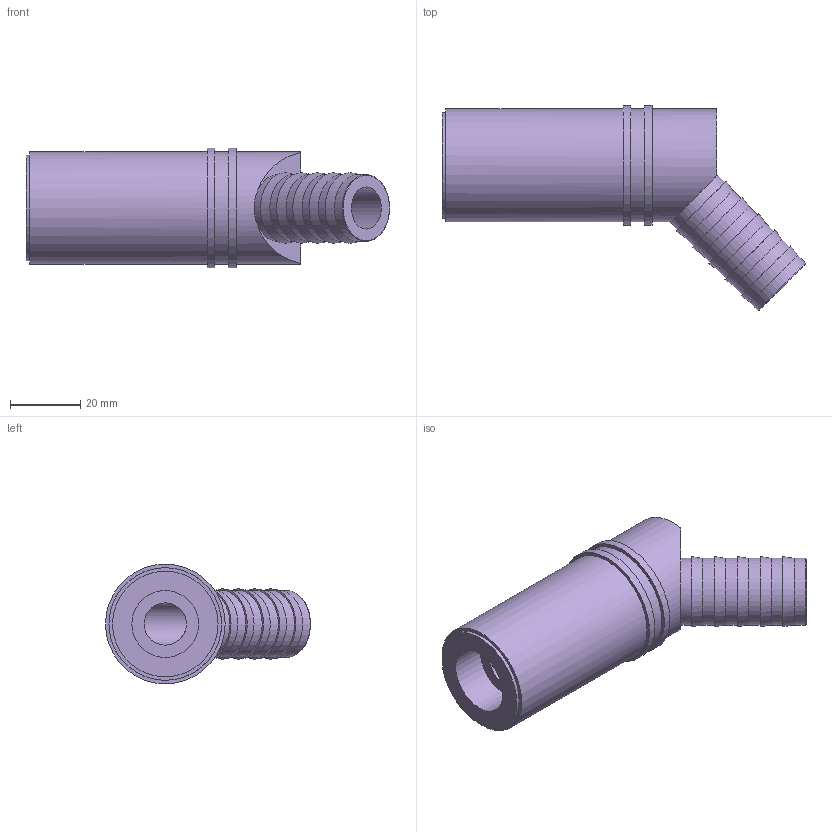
import cadquery as cq
import math

barrel_radius = 16.0
barrel_end_x = 78.0
spigot_radius = 15.0
spigot_length = 1.0

nozzle_angle = 45.0
elbow_x = 62.0
nozzle_radius = 9.5
tip_rounding = 0.2
nozzle_tip_distance = 49.0
seat_drop = 13.0

barb_count = 5
barb_radius = 10.0
barb_length = 3.25
barb_pitch = 2 * barb_length
first_barb_offset = 3.0

bore_radius = 6.0
counterbore_radius = 9.5
counterbore_depth = 10.0

ring_radius = 17.0
ring_width = 2.2
first_ring_x = 51.4
ring_pitch = 6.0
ring_count = 2

angle = math.radians(nozzle_angle)
nozzle_direction = cq.Vector(math.cos(angle), -math.sin(angle), 0)
elbow = cq.Vector(elbow_x, 0, 0)
nozzle_tip = elbow + nozzle_direction * nozzle_tip_distance
seat_start = (barrel_end_x, -(barrel_radius - seat_drop))
seat_distance = (seat_start[0] - elbow_x) * nozzle_direction.x + seat_start[1] * nozzle_direction.y
nozzle_length = nozzle_tip_distance - seat_distance


def make_barrel():
    """Plain barrel with a short spigot at its open end and a slanted seat for the nozzle."""
    spigot = cq.Workplane("YZ").circle(spigot_radius).extrude(spigot_length)
    barrel = (
        cq.Workplane("YZ", origin=(spigot_length, 0, 0))
        .circle(barrel_radius)
        .extrude(barrel_end_x - spigot_length)
    )
    seat_run = seat_drop / math.tan(angle)
    seat_corner = (
        cq.Workplane("XY")
        .moveTo(*seat_start)
        .lineTo(barrel_end_x, -barrel_radius)
        .lineTo(barrel_end_x - seat_run, -barrel_radius)
        .close()
        .extrude(barrel_radius, both=True)
    )
    return barrel.union(spigot).cut(seat_corner)


def make_nozzle():
    """Barbed nozzle, revolved about its own axis and standing on the slanted seat."""
    seat_centre = elbow + nozzle_direction * seat_distance
    nozzle_plane = cq.Plane(seat_centre, xDir=nozzle_direction, normal=(0, 0, 1))
    profile = cq.Workplane(nozzle_plane).lineTo(0, nozzle_radius)
    for i in range(barb_count):
        barb_start = first_barb_offset + i * barb_pitch
        profile = (
            profile.lineTo(barb_start, nozzle_radius)
            .lineTo(barb_start, barb_radius)
            .lineTo(barb_start + barb_length, nozzle_radius)
        )
    profile = (
        profile.lineTo(nozzle_length - tip_rounding, nozzle_radius)
        .radiusArc((nozzle_length, nozzle_radius - tip_rounding), tip_rounding)
        .lineTo(nozzle_length, 0)
        .close()
    )
    return profile.revolve(360, (0, 0, 0), (1, 0, 0))


def make_passage():
    """Bore from the open end to the nozzle tip, mitred at the elbow, with a wide counterbore."""
    bore_path = cq.Workplane("XY").polyline([(0, 0), (elbow.x, elbow.y), (nozzle_tip.x, nozzle_tip.y)])
    bore = cq.Workplane("YZ").circle(bore_radius).sweep(bore_path, transition="right")
    counterbore = cq.Workplane("YZ").circle(counterbore_radius).extrude(counterbore_depth)
    return bore.union(counterbore)


def make_ring(start_x):
    """Flat-sided sealing ring fitting closely around the barrel."""
    return (
        cq.Workplane("YZ", origin=(start_x, 0, 0))
        .circle(ring_radius)
        .circle(barrel_radius)
        .extrude(ring_width)
    )


housing = make_barrel().union(make_nozzle()).cut(make_passage())
rings = [make_ring(first_ring_x + i * ring_pitch) for i in range(ring_count)]

result = cq.Compound.makeCompound([housing.val(), *[ring.val() for ring in rings]])